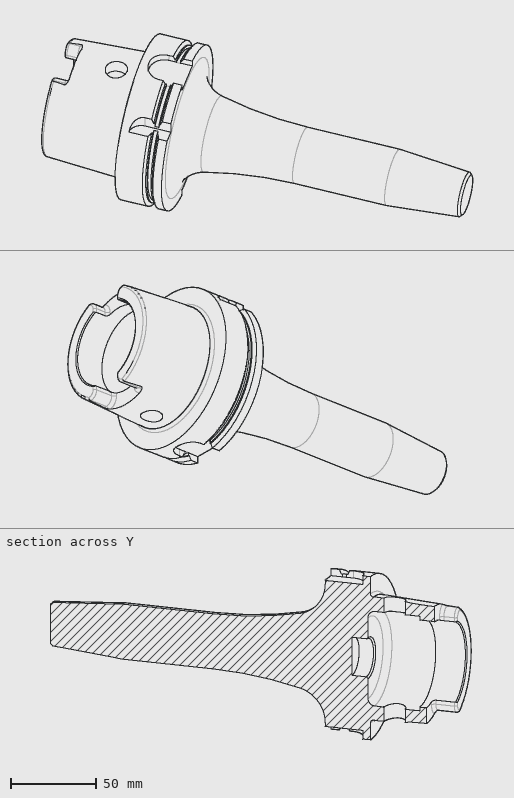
import cadquery as cq
import math

total_length = 250.0
flange_start = 50.0
shank_end_radius = 35.5
shank_base_radius = 38.0
shank_taper_end = 47.8
relief_radius = 37.8
relief_chamfer = shank_base_radius - relief_radius
relief_fillet = 1.8

flange_end = 78.5
flange_radius = 50.0
groove_center = 70.0
groove_mouth_half_width = 3.2
groove_ledge_half_width = 2.0
groove_floor_half_width = 1.2
groove_ledge_radius = 47.5
groove_floor_radius = 45.8

root_arc_radius = 20.0
sweep_arc_radius = 250.0
barrel_start = 148.5
barrel_end = 205.0
barrel_radius = 17.0
nose_tip_radius = 13.5
tip_chamfer = 1.5

bore_radius = 26.5
bore_mouth_chamfer = 0.8
bore_lip_depth = 19.2
chamber_radius = 28.8
chamber_depth = 51.5
chamber_floor_fillet = 4.0
center_hole_radius = 11.5
center_hole_chamfer = 1.0
center_hole_depth = 10.0

keyway_half_width = 10.0
keyway_step_height = 32.0
keyway_shoulder_radius = 5.0
keyway_floor_fillet = 2.0
top_keyway_depth = 10.0
bottom_keyway_depth = 15.0
mouth_fillet = 1.5

cross_hole_x = 35.0
cross_hole_radius = 6.5

notch_start = 55.0
notch_width = 19.5
notch_floor_height = 44.8
notch_end_radius = 9.2
corner_notch_floor = 31.2
corner_notch_wall = 31.8
corner_notch_end_radius = 7.8


def turned_body():
    """Solid of revolution: shank, relief, flange, root arcs, barrel and tapered tip."""
    sweep_center_r = barrel_radius + sweep_arc_radius
    root_center_x = flange_end + root_arc_radius
    center_distance = sweep_arc_radius - root_arc_radius
    center_dx = barrel_start - root_center_x
    lean = math.asin(center_dx / center_distance)
    root_center_r = sweep_center_r - center_distance * math.cos(lean)

    def root_point(angle):
        return (
            root_center_x - root_arc_radius * math.sin(angle),
            root_center_r - root_arc_radius * math.cos(angle),
        )

    def sweep_point(angle):
        return (
            barrel_start - sweep_arc_radius * math.sin(angle),
            sweep_center_r - sweep_arc_radius * math.cos(angle),
        )

    quarter_turn = math.pi / 2
    relief_arc_angle = math.pi / 4
    relief_arc_middle = (
        flange_start - relief_fillet * (1 - math.sin(relief_arc_angle)),
        relief_radius + relief_fillet * (1 - math.cos(relief_arc_angle)),
    )
    profile = (
        cq.Workplane("XY")
        .moveTo(0, 0)
        .lineTo(0, shank_end_radius)
        .lineTo(shank_taper_end, shank_base_radius)
        .lineTo(shank_taper_end + relief_chamfer, relief_radius)
        .lineTo(flange_start - relief_fillet, relief_radius)
        .threePointArc(relief_arc_middle, (flange_start, relief_radius + relief_fillet))
        .lineTo(flange_start, flange_radius)
        .lineTo(groove_center - groove_mouth_half_width, flange_radius)
        .lineTo(groove_center - groove_ledge_half_width, groove_ledge_radius)
        .lineTo(groove_center - groove_floor_half_width, groove_ledge_radius)
        .lineTo(groove_center - groove_floor_half_width, groove_floor_radius)
        .lineTo(groove_center + groove_floor_half_width, groove_floor_radius)
        .lineTo(groove_center + groove_floor_half_width, groove_ledge_radius)
        .lineTo(groove_center + groove_ledge_half_width, groove_ledge_radius)
        .lineTo(groove_center + groove_mouth_half_width, flange_radius)
        .lineTo(flange_end, flange_radius)
        .lineTo(*root_point(quarter_turn))
        .threePointArc(root_point((quarter_turn + lean) / 2), root_point(lean))
        .threePointArc(sweep_point(lean / 2), (barrel_start, barrel_radius))
        .lineTo(barrel_end, barrel_radius)
        .lineTo(total_length - tip_chamfer, nose_tip_radius)
        .lineTo(total_length, nose_tip_radius - tip_chamfer)
        .lineTo(total_length, 0)
        .close()
    )
    return profile.revolve(360, (0, 0, 0), (1, 0, 0))


def bore():
    """Bore that opens into a wider round-cornered chamber with a centre hole in its floor."""
    profile = (
        cq.Workplane("XY")
        .moveTo(0, 0)
        .lineTo(0, bore_radius + bore_mouth_chamfer)
        .lineTo(bore_mouth_chamfer, bore_radius)
        .lineTo(bore_lip_depth, bore_radius)
        .lineTo(bore_lip_depth, chamber_radius)
        .lineTo(chamber_depth - chamber_floor_fillet, chamber_radius)
        .radiusArc((chamber_depth, chamber_radius - chamber_floor_fillet), chamber_floor_fillet)
        .lineTo(chamber_depth, center_hole_radius + center_hole_chamfer)
        .lineTo(chamber_depth + center_hole_chamfer, center_hole_radius)
        .lineTo(chamber_depth + center_hole_depth, center_hole_radius)
        .lineTo(chamber_depth + center_hole_depth, 0)
        .close()
    )
    return profile.revolve(360, (0, 0, 0), (1, 0, 0))


def keyway(depth):
    """Keyway cutter on the +Z half, wider above its rounded shoulders."""
    shoulder_start = keyway_step_height - keyway_shoulder_radius
    step_half_width = keyway_half_width + keyway_shoulder_radius
    cutter = (
        cq.Workplane("YZ")
        .moveTo(-keyway_half_width, 0)
        .lineTo(-keyway_half_width, shoulder_start)
        .radiusArc((-step_half_width, keyway_step_height), -keyway_shoulder_radius)
        .lineTo(-flange_radius, keyway_step_height)
        .lineTo(-flange_radius, flange_radius)
        .lineTo(flange_radius, flange_radius)
        .lineTo(flange_radius, keyway_step_height)
        .lineTo(step_half_width, keyway_step_height)
        .radiusArc((keyway_half_width, shoulder_start), -keyway_shoulder_radius)
        .lineTo(keyway_half_width, 0)
        .close()
        .extrude(depth)
    )
    return cutter.faces(">X").edges().fillet(keyway_floor_fillet)


def cross_hole():
    """Round hole along Z through both walls of the shank."""
    return (
        cq.Workplane("XY", origin=(cross_hole_x, 0, 0))
        .circle(cross_hole_radius)
        .extrude(flange_radius, both=True)
    )


def notch():
    """Flat-bottomed notch on the +Z side of the flange, open to the nose side."""
    length = flange_end - notch_start
    height = flange_radius - notch_floor_height
    return (
        cq.Workplane("XY")
        .box(length, notch_width, height, centered=(False, True, False))
        .edges("|Z and <X")
        .fillet(notch_end_radius)
        .translate((notch_start, 0, notch_floor_height))
    )


def corner_notch():
    """Square-cornered orientation notch between the -Y and +Z sides of the flange."""
    length = flange_end - notch_start
    return (
        cq.Workplane("XY")
        .box(length, flange_radius, flange_radius, centered=False)
        .edges("|Z and <X and >Y")
        .fillet(corner_notch_end_radius)
        .translate((notch_start, -corner_notch_wall - flange_radius, corner_notch_floor))
    )


def turned_over(cutter):
    """The same cutter on the opposite (-Z) side of the part."""
    return cutter.rotate((0, 0, 0), (1, 0, 0), 180)


body = turned_body()
body = body.cut(keyway(top_keyway_depth)).cut(turned_over(keyway(bottom_keyway_depth)))
body = body.faces("<X").edges().fillet(mouth_fillet)
body = body.cut(bore()).cut(cross_hole())
result = body.cut(notch()).cut(turned_over(notch())).cut(corner_notch())